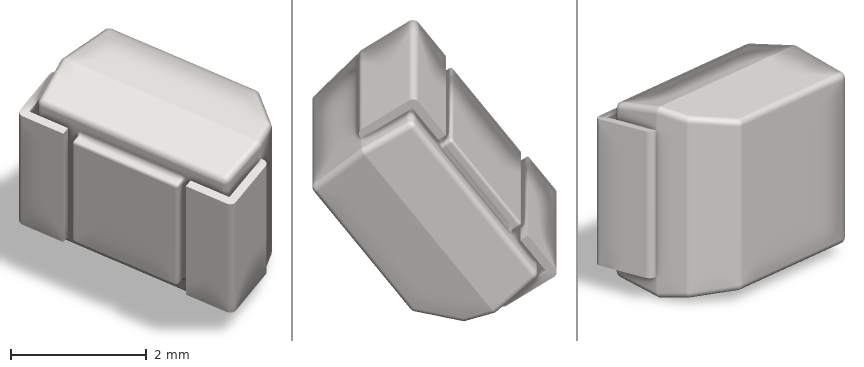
import cadquery as cq
import math

total_length = 3.7
parting_to_back = 1.05
parting_to_mount = 1.05
body_width = 3.0

lead_thickness = 0.135
lead_width = 2.3
foot_length = 0.8
lead_bend_radius = 0.1

standoff = 0.2
body_length = total_length - 2 * lead_thickness
body_front_y = standoff - parting_to_mount
edge_radius = 0.1
front_end_draft = 6.0
back_left_draft = 9.5
back_right_draft = 12.0
side_draft = 9.0
bevel_back_x = 1.055
bevel_lower_y = 0.49

pad_length = 1.81
pad_width = 2.13
pad_radius = 0.05
pad_rim_radius = 0.049
foot_box_x = pad_length / 2 + pad_radius
foot_box_z = pad_width / 2 + pad_radius


def draft_inset(depth, angle):
    """Inward shift of a drafted wall at a given distance from the parting plane."""
    return depth * math.tan(math.radians(angle))


def make_block():
    """Drafted block, bevelled along one back edge, with every edge rounded except the parting line."""
    half_length = body_length / 2
    half_width = body_width / 2

    front_x = half_length - draft_inset(-body_front_y, front_end_draft)
    back_left_x = -half_length + draft_inset(parting_to_back, back_left_draft)
    bevel_lower_x = half_length - draft_inset(bevel_lower_y, back_right_draft)
    length_profile = (
        cq.Workplane("XY")
        .polyline([
            (-front_x, body_front_y),
            (front_x, body_front_y),
            (half_length, 0),
            (bevel_lower_x, bevel_lower_y),
            (bevel_back_x, parting_to_back),
            (back_left_x, parting_to_back),
            (-half_length, 0),
        ])
        .close()
        .extrude(half_width, both=True)
    )

    front_z = half_width - draft_inset(-body_front_y, side_draft)
    back_z = half_width - draft_inset(parting_to_back, side_draft)
    width_profile = (
        cq.Workplane("YZ")
        .polyline([
            (body_front_y, -front_z),
            (0, -half_width),
            (parting_to_back, -back_z),
            (parting_to_back, back_z),
            (0, half_width),
            (body_front_y, front_z),
        ])
        .close()
        .extrude(half_length, both=True)
    )

    block = length_profile.intersect(width_profile)
    parting_band = cq.selectors.BoxSelector(
        (-total_length, -edge_radius, -body_width),
        (total_length, edge_radius, body_width),
    )
    return block.edges(cq.selectors.InverseSelector(parting_band)).fillet(edge_radius)


def make_pad():
    """Pad on the mounting face of the body, with its corners and outer rim rounded."""
    pad = (
        cq.Workplane("XZ", origin=(0, body_front_y, 0))
        .rect(pad_length, pad_width)
        .extrude(standoff)
        .edges("|Y")
        .fillet(pad_radius)
    )
    return pad.faces("<Y").edges().fillet(pad_rim_radius)


def make_body():
    """Block and pad in one moulding, blended along the foot of the pad."""
    body = make_block().union(make_pad())
    pad_foot = cq.selectors.BoxSelector(
        (-foot_box_x, body_front_y - pad_radius, -foot_box_z),
        (foot_box_x, body_front_y + pad_radius, foot_box_z),
    )
    return body.edges(pad_foot).fillet(pad_radius)


def make_lead(side):
    """L-shaped lead: an upright beside the body end and a foot under it; side is -1 or +1."""
    outer_x = side * total_length / 2
    inner_x = outer_x - side * lead_thickness
    toe_x = outer_x - side * foot_length
    foot_top_y = lead_thickness - parting_to_mount
    lead = (
        cq.Workplane("XY")
        .polyline([
            (inner_x, 0),
            (outer_x, 0),
            (outer_x, -parting_to_mount),
            (toe_x, -parting_to_mount),
            (toe_x, foot_top_y),
            (inner_x, foot_top_y),
        ])
        .close()
        .extrude(lead_width / 2, both=True)
    )
    outer_edges = "|Z and >X" if side > 0 else "|Z and <X"
    return lead.edges(outer_edges).fillet(lead_bend_radius)


body = make_body()
leads = [make_lead(side) for side in (-1, 1)]

result = cq.Compound.makeCompound([body.val(), *[lead.val() for lead in leads]])